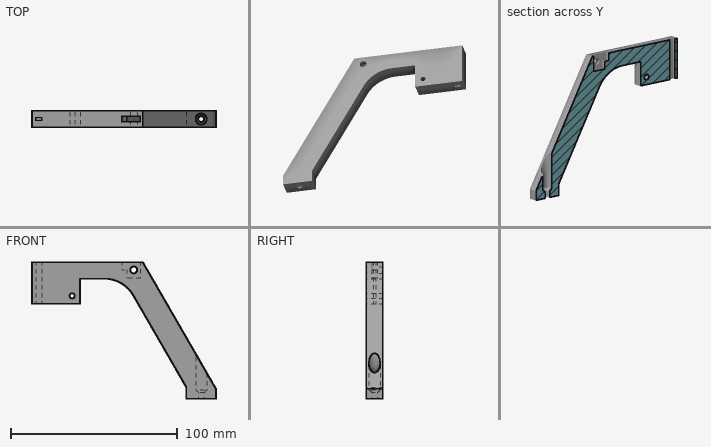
import cadquery as cq
import math

length = 110.5
width = 10.0
height = 82.13

beam_depth = 10.0
block_depth = 25.0
leg_angle = math.radians(60)
foot_length = 18.0
foot_rear_height = 6.0
foot_front_height = 7.18
inner_bend_radius = 20.0

pivot_hole_diameter = 4.0
pivot_hole_x = 61.1
pivot_hole_depth = 4.7
pin_hole_diameter = 3.0
pin_hole_x = 24.2
pin_hole_height = 4.8

lug_start_x = 17.0
lug_end_x = 29.0

pocket_width = 3.1
pocket_start_x = 54.0
pocket_step_x = 57.0
pocket_end_x = 65.0
pocket_shelf_depth = pivot_hole_depth
pocket_deep_depth = 2 * pivot_hole_depth

slot_start_x = 2.4
slot_length = 3.4
slot_width = 1.4

screw_hole_diameter = 3.4
screw_head_diameter = 6.7
screw_seat_height = 4.0

block_bottom_z = height - block_depth
beam_bottom_z = height - beam_depth


def make_arm():
    """Extrude the beam, block, sloping leg and foot as one plate, then round the inner bend."""
    foot_front_x = length - foot_length
    leg_top_x = length - (height - foot_rear_height) / math.tan(leg_angle)
    bend_x = foot_front_x - (beam_bottom_z - foot_front_height) / math.tan(leg_angle)
    outline = [
        (0, height),
        (leg_top_x, height),
        (length, foot_rear_height),
        (length, 0),
        (foot_front_x, 0),
        (foot_front_x, foot_front_height),
        (bend_x, beam_bottom_z),
        (lug_start_x, beam_bottom_z),
        (lug_start_x, block_bottom_z),
        (0, block_bottom_z),
    ]
    plate = cq.Workplane("XZ").polyline(outline).close().extrude(width / 2, both=True)
    bend_edge = cq.selectors.NearestToPointSelector((bend_x, 0, beam_bottom_z))
    return plate.edges("|Y").edges(bend_edge).fillet(inner_bend_radius)


def make_box(start_x, end_x, size_y, bottom_z, top_z):
    """Box centred on the mid plane."""
    return (
        cq.Workplane("XY", origin=((start_x + end_x) / 2, 0, bottom_z))
        .rect(end_x - start_x, size_y)
        .extrude(top_z - bottom_z)
    )


def make_cross_hole(diameter, x, z):
    """Cylinder along Y through the full width."""
    return (
        cq.Workplane("XZ", origin=(x, 0, z))
        .circle(diameter / 2)
        .extrude(width, both=True)
    )


def make_lug():
    """Flush lug under the beam that carries the pin hole."""
    return make_box(lug_start_x, lug_end_x, width, block_bottom_z, beam_bottom_z)


def make_pocket():
    """Pocket around the pivot hole, with a shallower shelf at its -X end."""
    shelf = make_box(
        pocket_start_x, pocket_step_x, pocket_width, height - pocket_shelf_depth, height
    )
    deep_part = make_box(
        pocket_step_x, pocket_end_x, pocket_width, height - pocket_deep_depth, height
    )
    return shelf.union(deep_part)


def make_screw_hole():
    """Vertical hole with a conical seat and a head clearance bore up through the leg."""
    hole_radius = screw_hole_diameter / 2
    head_radius = screw_head_diameter / 2
    seat_top_z = screw_seat_height + head_radius - hole_radius
    half_section = [
        (0, 0),
        (hole_radius, 0),
        (hole_radius, screw_seat_height),
        (head_radius, seat_top_z),
        (head_radius, height),
        (0, height),
    ]
    hole = cq.Workplane("XZ").polyline(half_section).close().revolve(360, (0, 0), (0, 1))
    return hole.translate((length - foot_length / 2, 0, 0))


slot = make_box(slot_start_x, slot_start_x + slot_length, slot_width, block_bottom_z, height)
pivot_hole = make_cross_hole(pivot_hole_diameter, pivot_hole_x, height - pivot_hole_depth)
pin_hole = make_cross_hole(pin_hole_diameter, pin_hole_x, block_bottom_z + pin_hole_height)

result = make_arm().union(make_lug(), clean=False)
for opening in (make_pocket(), slot, make_screw_hole(), pivot_hole, pin_hole):
    result = result.cut(opening, clean=False)